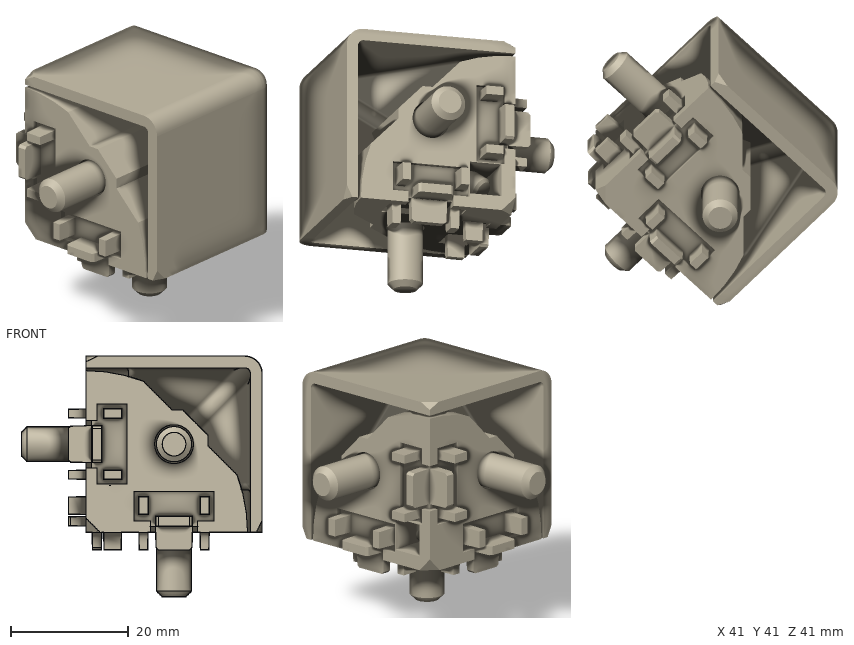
import cadquery as cq
import math

overall = 41.0
pin_reach = 11.0
cube = overall - pin_reach
middle = cube / 2
diagonal = cq.Vector(1, 1, 1)

wall = 2.0
inner_face = cube - wall
outer_fillet = 3.0
inner_fillet = outer_fillet - wall
rod_diameter = 4.4
rod_tip_place = 4.4
rod_tip_chamfer = 0.5
web_thickness = 1.3
web_edge_place = 7.87
web_fillet = 0.5
corner_cut_leg = 2.05
corner_cut_drop = 1.0

core_radius = 27.5
shoulder_sum = 35.5
notch_height = 20.8
nose_sum = 37.3
core_corner_cut = 2.4

pocket_size = 5.6
pocket_center = 5.3
pocket_depth = 8.0
pocket_draft = 1.8

recess_depth = 1.0
bar_start = 1.9
bar_end = 6.95
bar_length = 13.6
stem_length = 8.05
tab_reach = 3.0
tab_draft = 1.2
small_tab_width = 3.1
small_tab_thickness = 1.65
small_tab_center = 4.55
small_tab_offset = 5.2
large_tab_width = 6.3
large_tab_thickness = 1.72
large_tab_center = 1.9
large_tab_chamfer = 0.4

pin_diameter = 6.0
pin_chamfer = 1.0
pin_hole_diameter = 6.6
pin_depth = 9.0


def turn(shape, step):
    """Turn a shape by a third of a turn per step about the body diagonal."""
    return shape.rotate((0, 0, 0), diagonal.toTuple(), 120 * step)


def all_three(shape):
    """Unite a shape with its two turned copies."""
    return shape.union(turn(shape, 1)).union(turn(shape, 2))


def swap_xy(shape):
    """Mirror a shape across the plane x = y."""
    return shape.mirror(cq.Vector(1, -1, 0), (0, 0, 0))


def corner_tetrahedron(x_leg, y_leg, z_leg):
    """Tetrahedron with a right-angled corner at the origin and the given signed legs."""
    points = ((0, 0, 0), (x_leg, 0, 0), (0, y_leg, 0), (0, 0, z_leg))
    corner, a, b, c = (cq.Vector(*point) for point in points)
    triangles = ((corner, a, b), (corner, b, c), (corner, c, a), (a, b, c))
    faces = [cq.Face.makeFromWires(cq.Wire.makePolygon(list(t), close=True)) for t in triangles]
    return cq.Workplane(cq.Solid.makeSolid(cq.Shell.makeShell(faces)))


def rounded_block(size, radius):
    """Cube from the origin, its three edges at the far corner rounded."""
    block = cq.Workplane().box(size, size, size, centered=False)
    return block.edges("(>Y and >Z) or (>X and >Z) or (>X and >Y)").fillet(radius)


def walls():
    """Three walls on the far sides of the cube."""
    return rounded_block(cube, outer_fillet).cut(rounded_block(inner_face, inner_fillet))


def rod_along_diagonal():
    """Rod on the body diagonal, from its chamfered tip into the far corner of the walls."""
    length = (inner_face - rod_tip_place) * math.sqrt(3)
    tip = (rod_tip_place,) * 3
    plane = cq.Plane(origin=tip, xDir=(1, -1, 0), normal=diagonal.toTuple())
    rod = cq.Workplane(plane).circle(rod_diameter / 2).extrude(length)
    return rod.faces(cq.selectors.DirectionMinMaxSelector(diagonal, False)).chamfer(rod_tip_chamfer)


def web():
    """Web in the plane x = y, between the rod and the top wall, with a round free edge."""
    plane = cq.Plane(origin=(0, 0, 0), xDir=(1, 1, 0), normal=(1, -1, 0))
    top = inner_face
    near = web_edge_place * math.sqrt(2)
    far = top * math.sqrt(2)
    sheet = (
        cq.Workplane(plane)
        .polyline([(near, web_edge_place), (far, top), (near, top)])
        .close()
        .extrude(web_thickness / 2, both=True)
    )
    round_edge = (
        cq.Workplane("XY", origin=(web_edge_place, web_edge_place, web_edge_place))
        .circle(web_thickness / 2)
        .extrude(top - web_edge_place)
    )
    return sheet.union(round_edge)


def rod_to_web_fillets():
    """Stretch of the rod with short arms along the webs, filleted where they meet."""
    length = (inner_face - inner_fillet - web_edge_place) * math.sqrt(3)
    arm_length = rod_diameter / 2 + web_fillet
    arm_end = math.hypot(arm_length, web_thickness / 2)
    plane = cq.Plane(origin=(web_edge_place,) * 3, xDir=(-1, -1, 2), normal=diagonal.toTuple())
    arm = cq.Workplane(plane).center(arm_length / 2, 0).rect(arm_length, web_thickness).extrude(length)
    stretch = cq.Workplane(plane).circle(rod_diameter / 2).extrude(length).union(all_three(arm))
    stretch_middle = diagonal * ((web_edge_place + inner_face - inner_fillet) / 2)
    along = stretch.edges(cq.selectors.ParallelDirSelector(diagonal))
    inner = along.filter(lambda edge: (edge.Center() - stretch_middle).Length < arm_end - web_fillet / 2)
    return inner.fillet(web_fillet)


def web_to_wall_fillet():
    """Strip of the web in the plane x = y, filleted where it meets the top wall."""
    near = web_edge_place * math.sqrt(2)
    far = (inner_face - inner_fillet) * math.sqrt(2)
    embedded = wall / 4
    foot_overhang = 1.5 * web_fillet
    foot_start = near - web_thickness / 2 - foot_overhang
    foot = (
        cq.Workplane()
        .box(far - foot_start, web_thickness + 2 * foot_overhang, embedded, centered=(False, True, False))
        .translate((foot_start, 0, inner_face))
    )
    strip_height = 2 * web_fillet
    strip = (
        cq.Workplane()
        .box(far - near, web_thickness, strip_height, centered=(False, True, False))
        .translate((near, 0, inner_face - strip_height))
    )
    round_edge = (
        cq.Workplane("XY", origin=(near, 0, inner_face - strip_height))
        .circle(web_thickness / 2)
        .extrude(strip_height)
    )
    joined = strip.union(round_edge).union(foot)
    strip_end = cq.selectors.BoxSelector(
        (near - web_thickness, -web_thickness, inner_face - embedded / 2),
        (far, web_thickness, inner_face + embedded / 2),
    )
    joined = joined.edges(strip_end).edges("|X").fillet(web_fillet)
    return joined.rotate((0, 0, 0), (0, 0, 1), 45)


def cover_body():
    """Walls, webs and rod in one piece, with the three open corners of the walls cut off."""
    web_with_fillet = web().union(web_to_wall_fillet())
    body = walls().union(all_three(web_with_fillet))
    body = body.union(rod_to_web_fillets()).union(rod_along_diagonal())
    cut = corner_tetrahedron(corner_cut_leg, corner_cut_leg, -corner_cut_drop).translate((0, 0, cube))
    return body.cut(all_three(cut))


def core_profile(plane):
    """Prism over the cube with the outline of one open face."""
    half_gap = math.sqrt(2 * core_radius**2 - shoulder_sum**2) / 2
    low = shoulder_sum / 2 - half_gap
    high = shoulder_sum / 2 + half_gap
    arc_angle = math.atan2(low, high) / 2
    arc = core_radius * math.sin(arc_angle), core_radius * math.cos(arc_angle)
    return (
        cq.Workplane(plane)
        .moveTo(0, 0)
        .lineTo(0, core_radius)
        .threePointArc(arc, (low, high))
        .lineTo(shoulder_sum - notch_height, notch_height)
        .lineTo(nose_sum - notch_height, notch_height)
        .lineTo(notch_height, nose_sum - notch_height)
        .lineTo(notch_height, shoulder_sum - notch_height)
        .lineTo(high, low)
        .threePointArc(arc[::-1], (core_radius, 0))
        .close()
        .extrude(cube)
    )


def bottom_tab(x, y, width, thickness):
    """Drafted tab that starts on the recess floor and stands out below the face z = 0."""
    plane = cq.Plane(origin=(x, y, recess_depth), xDir=(1, 0, 0), normal=(0, 0, -1))
    return cq.Workplane(plane).rect(width, thickness).extrude(recess_depth + tab_reach, taper=tab_draft)


def tee_recess():
    """T-shaped recess in the face z = 0, its stem open to the face x = 0."""
    bar = cq.Workplane().box(bar_end - bar_start, bar_length, recess_depth, centered=(False, True, False))
    stem = cq.Workplane().box(bar_start, stem_length, recess_depth, centered=(False, True, False))
    return bar.translate((bar_start, middle, 0)).union(stem.translate((0, middle, 0)))


def tee_tabs():
    """One large tab and two small ones in the T-shaped recess of the face z = 0."""
    large = bottom_tab(large_tab_center, middle, large_tab_thickness, large_tab_width)
    tabs = large.faces("<Z").edges("|X").chamfer(large_tab_chamfer)
    for side in (-1, 1):
        place = middle + side * small_tab_offset
        tabs = tabs.union(bottom_tab(small_tab_center, place, small_tab_width, small_tab_thickness))
    return tabs


def rod_pocket():
    """Drafted square pocket in the face x = 0, around the tip of the rod."""
    plane = cq.Plane(origin=(0, pocket_center, pocket_center), xDir=(0, 1, 0), normal=(1, 0, 0))
    return cq.Workplane(plane).rect(pocket_size, pocket_size).extrude(pocket_depth, taper=pocket_draft)


def core_body():
    """Block with three outlined faces, pin holes, recesses with tabs, and a way for the rod."""
    profile = core_profile("XY")
    body = profile.intersect(turn(profile, 1)).intersect(turn(profile, 2))
    body = body.cut(corner_tetrahedron(core_corner_cut, core_corner_cut, core_corner_cut))
    hole = cq.Workplane("XY", origin=(middle, middle, 0)).circle(pin_hole_diameter / 2).extrude(pin_depth)
    recess = tee_recess()
    tabs = tee_tabs()
    body = body.cut(all_three(hole.union(recess).union(swap_xy(recess))))
    body = body.union(all_three(tabs.union(swap_xy(tabs))))
    return body.cut(rod_pocket()).cut(rod_along_diagonal())


def pin_body(step):
    """Pin that stands on the floor of its hole, chamfered at the outer end."""
    pin = (
        cq.Workplane("XY", origin=(middle, middle, -pin_reach))
        .circle(pin_diameter / 2)
        .extrude(pin_reach + pin_depth)
        .faces("<Z")
        .chamfer(pin_chamfer)
    )
    return turn(pin, step)


core = core_body()
cover = cover_body().cut(core)
pins = [pin_body(step) for step in range(3)]

result = cq.Compound.makeCompound([cover.val(), core.val(), *[pin.val() for pin in pins]])